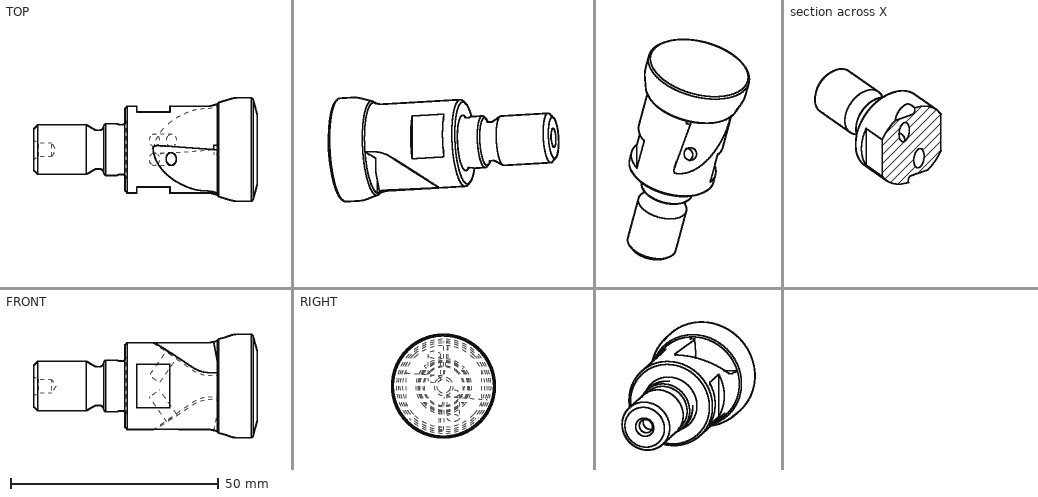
import cadquery as cq
import math

length = 54.0

shank_radius = 12.0 / 2
shank_chamfer = 1.0
shank_end = 12.75
neck_radius = 9.4 / 2
neck_taper_end = (14.7, 4.85)
neck_start = 15.15
neck_end = 15.9
neck_fillet = 0.95
pilot_radius = 12.5 / 2
pilot_chamfer = 0.5
pilot_start = neck_end + neck_fillet
pilot_end = 20.0
relief_radius = 12.1 / 2
relief_start = 20.75
relief_end = 21.5
relief_corner_radius = 6.7
relief_depth = 0.2
relief_outer_radius = 7.4

shoulder = 22.0
body_radius = 21.0 / 2
body_chamfer = 0.6
body_end = 42.55
flare_radius = 10.95

head_start = 44.25
head_lip = 0.45
head_radius = 12.5
head_rim_start = 48.4
head_blend = 0.8
head_rim_end = 52.5
head_corner = 0.45
head_face_radius = 8.35

center_mouth_diameter = 4.55
center_diameter = 3.3
center_mouth_depth = 1.1
center_depth = 4.3
drill_point_angle = 118.0

flat_start = 24.95
flat_length = 7.95
flat_distance = 9.05

floor_slope = math.radians(35.0)
floor_level = 3.2
floor_arc_radius = 7.45
floor_arc_end = body_end
floor_tilt = 4.0
floor_tilt_y = -9.45
notch_bottom = 6.15
notch_lean = math.radians(10.5)
notch_y = 1.1
wall_start = (28.8, 1.1)
wall_end = (head_start, -0.05)
wall_fillet = 0.65
coolant_diameter = 3.0
coolant_x = 33.4
coolant_y = -2.25
coolant_depth = 7.55
clearance = 16.2


def turned_blank():
    back_angle = math.atan2(
        head_radius - flare_radius - head_lip, head_rim_start - head_start - head_lip
    )
    blend_start = (
        head_rim_start - head_blend * math.cos(back_angle),
        head_radius - head_blend * math.sin(back_angle),
    )
    blend_end = (head_rim_start + head_blend, head_radius)
    half_profile = (
        cq.Workplane("XY")
        .lineTo(0, shank_radius - shank_chamfer)
        .lineTo(shank_chamfer, shank_radius)
        .lineTo(shank_end, shank_radius)
        .lineTo(*neck_taper_end)
        .tangentArcPoint((neck_start, neck_radius), relative=False)
        .lineTo(neck_end, neck_radius)
        .tangentArcPoint((neck_fillet, neck_fillet))
        .lineTo(pilot_start, pilot_radius - pilot_chamfer)
        .lineTo(pilot_start + pilot_chamfer, pilot_radius)
        .lineTo(pilot_end, pilot_radius)
        .lineTo(relief_start, relief_radius)
        .lineTo(relief_end, relief_radius)
        .tangentArcPoint((shoulder + relief_depth, relief_corner_radius), relative=False)
        .lineTo(shoulder, relief_outer_radius)
        .lineTo(shoulder, body_radius - body_chamfer)
        .lineTo(shoulder + body_chamfer, body_radius)
        .lineTo(body_end, body_radius)
        .lineTo(head_start, flare_radius)
        .lineTo(head_start + head_lip, flare_radius + head_lip)
        .lineTo(*blend_start)
        .tangentArcPoint(blend_end, relative=False)
        .lineTo(head_rim_end, head_radius)
        .lineTo(head_rim_end + head_corner, head_radius - head_corner)
        .lineTo(length, head_face_radius)
        .lineTo(length, 0)
        .close()
    )
    return half_profile.revolve(360, (0, 0, 0), (1, 0, 0))


def center_hole():
    radius = center_diameter / 2
    point_depth = radius / math.tan(math.radians(drill_point_angle / 2))
    half_profile = (
        cq.Workplane("XY")
        .lineTo(0, center_mouth_diameter / 2)
        .lineTo(center_mouth_depth, radius)
        .lineTo(center_depth, radius)
        .lineTo(center_depth + point_depth, 0)
        .close()
    )
    return half_profile.revolve(360, (0, 0, 0), (1, 0, 0))


def wrench_flat(side):
    depth = body_radius - flat_distance
    return cq.Workplane("XY").box(
        flat_length, depth, 2 * body_radius, centered=(False, True, True)
    ).translate((flat_start, side * (flat_distance + depth / 2), 0))


arc_start_x = floor_arc_end - floor_arc_radius * math.sin(floor_slope)
arc_start_z = floor_level + floor_arc_radius * (1 - math.cos(floor_slope))


def floor_height(x):
    return arc_start_z + (arc_start_x - x) * math.tan(floor_slope)


def chip_pocket():
    ramp_x = arc_start_x - clearance
    top = floor_height(ramp_x) + clearance
    tilt_axis_start = (0, floor_tilt_y, floor_level)
    tilt_axis_end = (1, floor_tilt_y, floor_level)
    arc_middle = (
        floor_arc_end - floor_arc_radius * math.sin(floor_slope / 2),
        floor_level + floor_arc_radius * (1 - math.cos(floor_slope / 2)),
    )
    above_floor = (
        cq.Workplane("XZ", origin=(0, clearance, 0))
        .moveTo(ramp_x, floor_height(ramp_x))
        .lineTo(arc_start_x, arc_start_z)
        .threePointArc(arc_middle, (floor_arc_end, floor_level))
        .lineTo(head_start, floor_level)
        .lineTo(head_start, top)
        .lineTo(ramp_x, top)
        .close()
        .extrude(2 * clearance)
        .rotate(tilt_axis_start, tilt_axis_end, -floor_tilt)
    )
    wall_slope = (wall_end[1] - wall_start[1]) / (wall_end[0] - wall_start[0])
    wall_y = wall_start[1] + wall_slope * (ramp_x - wall_start[0])
    beside_wall = (
        cq.Workplane("XY")
        .moveTo(ramp_x, wall_y)
        .lineTo(*wall_end)
        .lineTo(head_start, -clearance)
        .lineTo(ramp_x, -clearance)
        .close()
        .extrude(2 * clearance)
    )
    pocket = above_floor.intersect(beside_wall)
    corner_selector = cq.selectors.BoxSelector(
        (ramp_x, wall_end[1], 0),
        (head_start - wall_fillet, clearance, floor_height(ramp_x) - wall_fillet),
    )
    return pocket.edges(corner_selector).fillet(wall_fillet)


def wall_notch():
    height = body_radius
    return (
        cq.Workplane("XZ", origin=(0, notch_y, 0))
        .moveTo(head_start, notch_bottom)
        .lineTo(head_start - height * math.tan(notch_lean), notch_bottom + height)
        .lineTo(head_start, notch_bottom + height)
        .close()
        .extrude(notch_y - wall_end[1])
    )


def coolant_hole():
    normal = cq.Vector(math.sin(floor_slope), 0, math.cos(floor_slope))
    mouth = cq.Vector(coolant_x, coolant_y, floor_height(coolant_x))
    return cq.Workplane(
        cq.Solid.makeCylinder(
            coolant_diameter / 2, 2 * coolant_depth, mouth - normal * coolant_depth, normal
        )
    )


result = turned_blank().cut(center_hole())
for side in (-1, 1):
    result = result.cut(wrench_flat(side))
for angle in (0, 180):
    for cutter in (chip_pocket(), wall_notch(), coolant_hole()):
        result = result.cut(cutter.rotate((0, 0, 0), (1, 0, 0), angle))